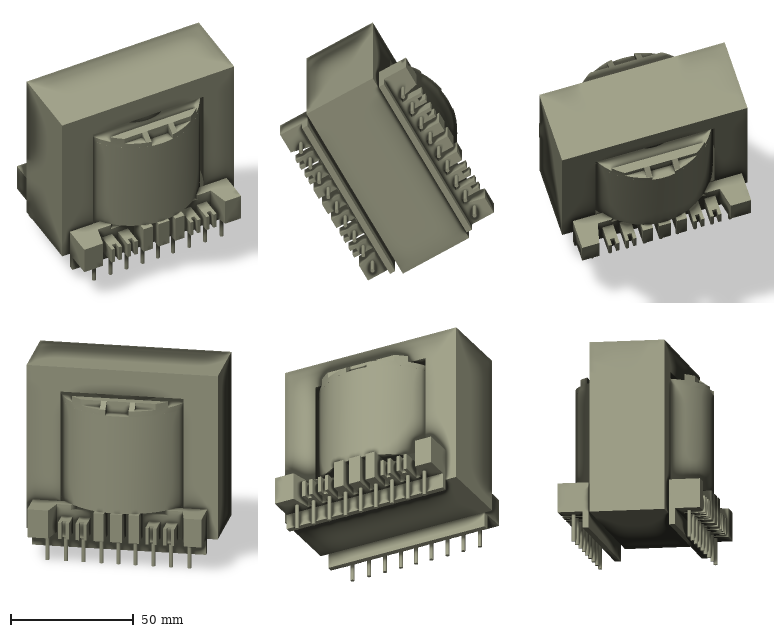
import cadquery as cq
import math


overall_length = 79.05
tape_thickness = 0.25

core_width = 31.0
core_length = overall_length - 2 * tape_thickness
core_half_height = 35.0
window_half_height = 24.4
centre_leg_radius = 15.0
window_edge_half = 25.4
window_radius = math.hypot(core_width / 2, window_edge_half)

flange_radius = 28.25
tube_radius = 16.2
flange_top = 21.85
coil_top = 19.53
coil_bottom = -22.23
spool_bottom = -window_half_height

wall_inner_x = 20.1
wall_outer_x = 23.75
notch_half_width = 4.8
rib_width = 2.35
rib_outer_y = notch_half_width + rib_width
rib_outer_x = math.sqrt(flange_radius**2 - rib_outer_y**2)

rail_inner_x = 16.75
rail_outer_x = 29.44
web_outer_x = 20.8
rail_front_y = -36.7
rail_back_y = 35.35
rail_height = 12.0
rail_bottom = coil_bottom - rail_height
end_block_outer_y = 28.05
end_block_inner_y = 26.0
skirt_outer_x = 19.15
skirt_height = 6.65

slotted_tooth_width = 4.65
slotted_tooth_drop = 5.0
slot_width = 1.8
slot_depth = 2.65
middle_tooth_width = 5.0
plain_tooth_inner_y = 5.1
plain_tooth_outer_y = 9.4
plain_tooth_width = plain_tooth_outer_y - plain_tooth_inner_y
plain_tooth_y = (plain_tooth_inner_y + plain_tooth_outer_y) / 2
tooth_overlap = 1.0

passage_end_y = 20.1
passage_depth_x = 2.05
passage_bottom = spool_bottom

pin_radius = 0.8
pin_length = 11.0
pin_x = 23.9
middle_pin_y = [0.0, 7.0]
slotted_tooth_y = [14.43, 21.74]
end_pin_y = 29.35
pin_y = middle_pin_y + slotted_tooth_y + [end_pin_y]


def box(x0, x1, y0, y1, z0, z1):
    """Box between two opposite corners."""
    return cq.Workplane("XY").box(x1 - x0, y1 - y0, z1 - z0, centered=False).translate((x0, y0, z0))


def disc(radius, z0, z1):
    """Upright cylinder on the coil axis."""
    return cq.Workplane("XY").workplane(offset=z0).circle(radius).extrude(z1 - z0)


def both_signs(distances):
    """The distances together with their negatives, each place once."""
    return sorted({sign * distance for distance in distances for sign in (-1, 1)})


def make_upper_core():
    half_width = core_width / 2
    half_length = core_length / 2
    core = box(-half_width, half_width, -half_length, half_length, 0, core_half_height)
    core = core.cut(disc(window_radius, 0, window_half_height))
    return core.union(disc(centre_leg_radius, 0, window_half_height))


def make_tape():
    half_width = core_width / 2
    half_length = core_length / 2
    outer_half = half_length + tape_thickness
    wrap = box(-half_width, half_width, -outer_half, outer_half,
               -core_half_height - tape_thickness, core_half_height)
    core_space = box(-half_width, half_width, -half_length, half_length,
                     -core_half_height, core_half_height)
    return wrap.cut(core_space)


def make_coil():
    return disc(flange_radius, coil_bottom, coil_top).cut(disc(tube_radius, coil_bottom, coil_top))


def make_top_flange():
    """Top flange with a wall, two sloping ribs and a lead notch on the -X and +X sides."""
    flange = disc(flange_radius, coil_top, flange_top)
    rim = disc(flange_radius, coil_top, window_half_height)
    wall = box(-wall_outer_x, -wall_inner_x, -flange_radius, flange_radius, flange_top, window_half_height)
    notch = box(-flange_radius, -wall_outer_x, -notch_half_width, notch_half_width, coil_top, flange_top)
    rib = (
        cq.Workplane("XZ", origin=(0, rib_outer_y, 0))
        .moveTo(-wall_inner_x, coil_top)
        .lineTo(-wall_inner_x, window_half_height)
        .lineTo(-wall_outer_x, window_half_height)
        .lineTo(-rib_outer_x, flange_top)
        .lineTo(-flange_radius, flange_top)
        .lineTo(-flange_radius, coil_top)
        .close()
        .extrude(rib_width)
    )
    raised = wall.union(rib).union(rib.mirror("XZ")).intersect(rim)
    flange = flange.cut(notch).cut(notch.mirror("YZ"))
    return flange.union(raised).union(raised.mirror("YZ"))


def make_tooth(y, width, top):
    return box(-rail_outer_x, -web_outer_x + tooth_overlap, y - width / 2, y + width / 2, rail_bottom, top)


def make_slotted_tooth(y):
    tooth = make_tooth(y, slotted_tooth_width, coil_bottom - slotted_tooth_drop)
    slot = box(-rail_outer_x, -rail_outer_x + slot_depth, y - slot_width / 2, y + slot_width / 2,
               rail_bottom, coil_bottom)
    return tooth.cut(slot)


def make_pin(y):
    return (
        cq.Workplane("XY", origin=(-pin_x, y, rail_bottom))
        .circle(pin_radius)
        .extrude(-pin_length)
    )


def make_rail():
    """Terminal rail on the -X side: web with end blocks, skirt, teeth and pins."""
    rail = (
        cq.Workplane("XY", origin=(0, 0, rail_bottom))
        .moveTo(-rail_inner_x, rail_front_y)
        .lineTo(-rail_outer_x, rail_front_y)
        .lineTo(-rail_outer_x, -end_block_outer_y)
        .lineTo(-web_outer_x, -end_block_inner_y)
        .lineTo(-web_outer_x, end_block_inner_y)
        .lineTo(-rail_outer_x, end_block_outer_y)
        .lineTo(-rail_outer_x, rail_back_y)
        .lineTo(-rail_inner_x, rail_back_y)
        .close()
        .extrude(rail_height)
    )
    rail = rail.union(box(-skirt_outer_x, -rail_inner_x, rail_front_y, rail_back_y,
                          rail_bottom - skirt_height, rail_bottom))
    rail = rail.union(make_tooth(0, middle_tooth_width, coil_bottom))
    for y in both_signs([plain_tooth_y]):
        rail = rail.union(make_tooth(y, plain_tooth_width, coil_bottom))
    for y in both_signs(slotted_tooth_y):
        rail = rail.union(make_slotted_tooth(y))
    for y in both_signs(pin_y):
        rail = rail.union(make_pin(y))
    return rail


def make_wire_passage():
    """Shallow channel in the web's outer edge on the -X, +Y side, with a 45 degree far end."""
    return (
        cq.Workplane("XY", origin=(0, 0, passage_bottom))
        .moveTo(-web_outer_x, plain_tooth_outer_y)
        .lineTo(-web_outer_x, passage_end_y)
        .lineTo(-web_outer_x + passage_depth_x, passage_end_y - passage_depth_x)
        .lineTo(-web_outer_x + passage_depth_x, plain_tooth_outer_y)
        .close()
        .extrude(coil_bottom - passage_bottom)
    )


def make_bobbin():
    base = disc(flange_radius, spool_bottom, coil_bottom)
    base = base.intersect(box(-web_outer_x, web_outer_x, -flange_radius, flange_radius,
                              spool_bottom, coil_bottom))
    rail = make_rail()
    base = base.union(rail).union(rail.mirror("YZ"))
    passage = make_wire_passage()
    passages = passage.union(passage.mirror("XZ"))
    base = base.cut(passages).cut(passages.mirror("YZ"))
    tube = disc(tube_radius, spool_bottom, flange_top)
    bore = disc(centre_leg_radius, spool_bottom, window_half_height)
    return base.union(tube).union(make_top_flange()).cut(bore)


upper_core = make_upper_core()
lower_core = upper_core.mirror("XY")
tape = make_tape()
coil = make_coil()
bobbin = make_bobbin()

result = cq.Compound.makeCompound([
    upper_core.val(),
    lower_core.val(),
    tape.val(),
    coil.val(),
    bobbin.val(),
])